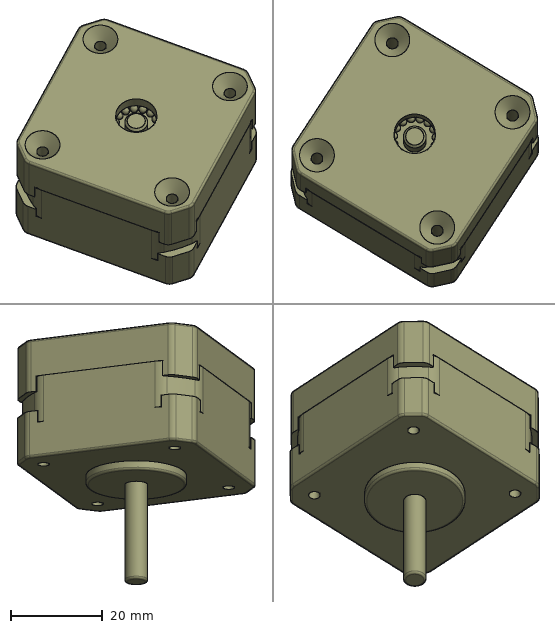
import cadquery as cq
import math

width = 42.3
overall_length = 51.3
body_height = 27.05
half_width = width / 2

core_diameter = 51.3
core_blend_radius = 4.1

upper_cap_width = 42.25
upper_chamfer = 4.1
lower_cap_width = width
lower_chamfer = 3.85
cap_corner_radius = 2.0
cap_rim_radius = 0.5
upper_window_top = body_height - 8.5
upper_leg_bottom = body_height - 12.0
lower_leg_top = body_height - 16.45
lower_window_bottom = body_height - 19.1
upper_window_width = 29.85
lower_window_width = 29.15

boss_diameter = 22.0
boss_height = 2.0
shaft_diameter = 5.0
shaft_top = body_height - 2.0
shaft_top_chamfer = 0.5
shaft_tip_radius = 0.5
boss_rim_radius = 0.5

opening_diameter = 9.0
opening_depth = 2.55
bearing_diameter = 10.75
bearing_floor_depth = 5.65
ball_count = 15
ball_diameter = 1.75
ball_pitch_radius = 4.65
ball_center_depth = 3.9

hole_spacing = 31.0
hole_diameter = 2.5
countersink_diameter = 7.6
countersink_angle = 90


def square_prism(side, bottom, top):
    return cq.Workplane("XY").workplane(offset=bottom).rect(side, side).extrude(top - bottom)


def cylinder(diameter, bottom, top):
    return cq.Workplane("XY").workplane(offset=bottom).circle(diameter / 2).extrude(top - bottom)


def make_core(bottom, top):
    """Square core cut by the turned cylinder, with the edges between them rounded."""
    turned = cylinder(core_diameter, bottom, top)
    return square_prism(width, bottom, top).intersect(turned).edges("|Z").fillet(core_blend_radius)


def cap_block(side, chamfer, bottom, top):
    """Square block with chamfered corners and softened vertical edges."""
    block = square_prism(side, bottom, top).edges("|Z").chamfer(chamfer)
    return block.edges("|Z").fillet(cap_corner_radius)


def corner_posts(window_width, bottom, top):
    """Four square posts that fill the corners left between the cap windows."""
    post_side = half_width - window_width / 2
    post_spacing = window_width + post_side
    return (
        cq.Workplane("XY")
        .workplane(offset=bottom)
        .rect(post_spacing, post_spacing, forConstruction=True)
        .vertices()
        .rect(post_side, post_side)
        .extrude(top - bottom)
    )


def make_upper_cap():
    plate = cap_block(upper_cap_width, upper_chamfer, upper_window_top, body_height)
    plate = plate.faces(">Z").edges().fillet(cap_rim_radius)
    legs = cap_block(upper_cap_width, upper_chamfer, upper_leg_bottom, upper_window_top)
    posts = corner_posts(upper_window_width, upper_leg_bottom, upper_window_top)
    return plate.union(legs.intersect(posts))


def make_lower_cap():
    plate = cap_block(lower_cap_width, lower_chamfer, 0, lower_window_bottom)
    plate = plate.faces("<Z").edges().fillet(cap_rim_radius)
    legs = cap_block(lower_cap_width, lower_chamfer, lower_window_bottom, lower_leg_top)
    posts = corner_posts(lower_window_width, lower_window_bottom, lower_leg_top)
    return plate.union(legs.intersect(posts))


def make_boss():
    return cylinder(boss_diameter, -boss_height, 0).faces("<Z").edges().fillet(boss_rim_radius)


def make_shaft():
    """Shaft with a chamfered upper end and a rounded tip."""
    shaft = cylinder(shaft_diameter, body_height - overall_length, shaft_top)
    return shaft.faces(">Z").edges().chamfer(shaft_top_chamfer).faces("<Z").edges().fillet(shaft_tip_radius)


def make_bearing_cavity():
    """Opening in the upper face that widens into the bearing seat below it."""
    seat_top = body_height - opening_depth
    opening = cylinder(opening_diameter, seat_top, body_height)
    return opening.union(cylinder(bearing_diameter, body_height - bearing_floor_depth, seat_top))


def add_balls(body):
    """Join a ring of balls, seated slightly into the cavity wall and starting on the X axis."""
    ball_z = body_height - ball_center_depth
    for index in range(ball_count):
        angle = 2 * math.pi * index / ball_count
        x = ball_pitch_radius * math.cos(angle)
        y = ball_pitch_radius * math.sin(angle)
        body = body.union(cq.Workplane("XY").sphere(ball_diameter / 2).translate((x, y, ball_z)))
    return body


def cut_screw_holes(body):
    return (
        body.faces(">Z")
        .workplane(origin=(0, 0, body_height))
        .rect(hole_spacing, hole_spacing, forConstruction=True)
        .vertices()
        .cskHole(hole_diameter, countersink_diameter, countersink_angle)
    )


core = make_core(lower_window_bottom, upper_window_top)
body = core.union(make_upper_cap()).union(make_lower_cap()).union(make_boss())
body = cut_screw_holes(body)
body = body.cut(make_bearing_cavity()).union(make_shaft())
result = add_balls(body)